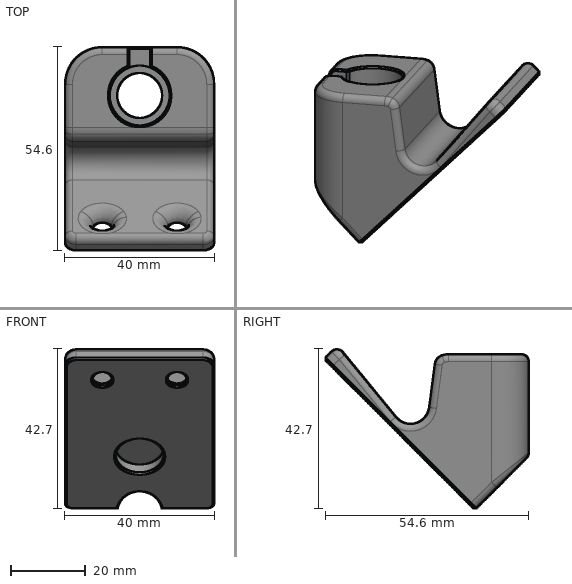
import cadquery as cq
import math

WIDTH = 40.0
BLOCK_HEIGHT = 41.35
TOTAL_DEPTH = 54.55
TIP_DEPTH = 14.45
CHAMFER = 0.5
EDGE_FILLET = 2.0
BACK_CORNER_RADIUS = 10.0
PLATE_CORNER_RADIUS = 3.0

GROOVE_RADIUS = 5.0
GROOVE = (-31.75, 27.7)
WALL_LEAN = math.radians(7.4)
PLATE_SLOPE = math.radians(50.6)
BROW_RADIUS = 5.1
BROW_ANGLE = math.radians(20)
NOSE_RADIUS = 3.0

SOCKET_Y = -13.0
SOCKET_DIAMETER = 16.05
SOCKET_FLOOR = 16.0
THROUGH_DIAMETER = 12.0
SLOT_WIDTH = 5.5
SLOT_FLOOR = 18.0

SCREW_SPACING = 20.0
SCREW_TO_END = 8.0
SCREW_DIAMETER = 5.0
SCREW_FLARE_RADIUS = 4.0
POCKET_DIAMETER = 12.75
POCKET_DEPTH = 3.45
POCKET_FROM_TIP = 20.05

SQRT2 = math.sqrt(2)
HALF_WIDTH = WIDTH / 2
TOLERANCE = 0.005
REACH = 2 * TOTAL_DEPTH
INTO_PART = cq.Vector(0, 1, 1)
PLATE_TAPER = PLATE_SLOPE - math.pi / 4
GROOVE_END = -math.pi / 2 - PLATE_SLOPE

TIP_Y = -TIP_DEPTH
TIP_Z = -CHAMFER / SQRT2
FACE_LENGTH = (TOTAL_DEPTH - TIP_DEPTH) * SQRT2 + CHAMFER


def mounting_point(along, inward=0.0):
    """Y, Z of a point 'along' the mounting face from its tip and 'inward' from it."""
    return (TIP_Y + (inward - along) / SQRT2, TIP_Z + (inward + along) / SQRT2)


def polar(center, radius, angle):
    return (center[0] + radius * math.cos(angle), center[1] + radius * math.sin(angle))


def add_arc(outline, center, radius, start, end):
    return outline.threePointArc(polar(center, radius, (start + end) / 2), polar(center, radius, end))


def face_distances(y, z):
    """Distance along the mounting face from its tip, and inward from that face."""
    rise = z - TIP_Z
    run = y - TIP_Y
    return ((rise - run) / SQRT2, (rise + run) / SQRT2)


def plate_top_point(along):
    """Y, Z of the plate's upper face, a tangent of the groove, above a mounting-face position."""
    start_along, start_inward = face_distances(*polar(GROOVE, GROOVE_RADIUS, GROOVE_END))
    return mounting_point(along, start_inward + (along - start_along) * math.tan(PLATE_TAPER))


def side_profile():
    """Closed Y-Z outline: block top, front wall, groove, plate and the two 45 degree faces."""
    top_angle = math.pi / 2
    nose_start = top_angle + BROW_ANGLE
    nose_end = math.pi - WALL_LEAN
    groove_start = -WALL_LEAN

    radius_step = BROW_RADIUS - NOSE_RADIUS
    brow_z = BLOCK_HEIGHT - BROW_RADIUS
    nose_z = brow_z + radius_step * math.cos(BROW_ANGLE)
    wall_run = (nose_z - GROOVE[1]) * math.sin(WALL_LEAN)
    nose_y = GROOVE[0] + (GROOVE_RADIUS + NOSE_RADIUS + wall_run) / math.cos(WALL_LEAN)
    nose = (nose_y, nose_z)
    brow = (nose_y + radius_step * math.sin(BROW_ANGLE), brow_z)

    plate_end = mounting_point(FACE_LENGTH)
    outline = cq.Workplane("YZ").moveTo(0, BLOCK_HEIGHT).lineTo(brow[0], BLOCK_HEIGHT)
    outline = add_arc(outline, brow, BROW_RADIUS, top_angle, nose_start)
    outline = add_arc(outline, nose, NOSE_RADIUS, nose_start, nose_end)
    outline = outline.lineTo(*polar(GROOVE, GROOVE_RADIUS, groove_start))
    outline = add_arc(outline, GROOVE, GROOVE_RADIUS, groove_start, GROOVE_END)
    outline = outline.lineTo(*plate_top_point(FACE_LENGTH))
    outline = outline.lineTo(*plate_end).lineTo(TIP_Y, TIP_Z)
    return outline.lineTo(0, TIP_Z + TIP_DEPTH).close()


def is_rim_edge(edge):
    """True for the edges bounding the top, front and rear slope, except on the mounting face."""
    middle = edge.positionAt(0.5)
    direction = edge.tangentAt(0.5)
    along, inward = face_distances(middle.y, middle.z)
    at_plate_end = along > FACE_LENGTH - PLATE_CORNER_RADIUS - TOLERANCE
    if inward < TOLERANCE:
        return False
    if abs(direction.x) > 0.55 - TOLERANCE:
        return at_plate_end or middle.y > -TOLERANCE
    is_block_seam = abs(direction.z) > 0.55 - TOLERANCE
    is_plate_seam = at_plate_end and edge.geomType() == "LINE"
    return not (is_block_seam or is_plate_seam)


def is_socket_edge(edge):
    """True for the socket rim, the slot's side edges and the rear edge of the slot floor."""
    middle = edge.positionAt(0.5)
    radius = math.hypot(middle.x, middle.y - SOCKET_Y)
    on_slot_wall = abs(abs(middle.x) - SLOT_WIDTH / 2) < TOLERANCE
    if on_slot_wall:
        return middle.z > SLOT_FLOOR + TOLERANCE
    if abs(radius - SOCKET_DIAMETER / 2) < TOLERANCE:
        return middle.z > BLOCK_HEIGHT - TOLERANCE
    return abs(middle.z - SLOT_FLOOR) < TOLERANCE and middle.y > -TOLERANCE


def pick_edges(solid, test):
    return solid.newObject([edge for edge in solid.edges().vals() if test(edge)])


def mounting_plane(x, along):
    """Plane on the mounting face with its normal pointing into the part."""
    return cq.Plane((x, *mounting_point(along)), (1, 0, 0), INTO_PART)


def chamfered_mouth(plane, diameter):
    """Cone that breaks the edge of a hole starting on the plane."""
    radius = diameter / 2
    mouth = cq.Workplane(plane).circle(radius + CHAMFER)
    return mouth.workplane(offset=CHAMFER).circle(radius).loft()


def vertical_bore(diameter, floor):
    return cq.Workplane(origin=(0, SOCKET_Y, floor)).circle(diameter / 2).extrude(REACH)


def flared_screw_hole(x, along):
    """Drilled hole square to the mounting face, flaring out tangent to the plate's upper face."""
    upper_normal = cq.Vector(0, math.sin(PLATE_SLOPE), math.cos(PLATE_SLOPE))
    upper_plane = cq.Plane((x, *plate_top_point(along)), (1, 0, 0), upper_normal)
    side = 2 * (SCREW_DIAMETER + 2 * SCREW_FLARE_RADIUS)
    blank = cq.Workplane(upper_plane).rect(side, side).extrude(-side)
    drill = cq.Workplane(mounting_plane(x, along)).circle(SCREW_DIAMETER / 2).extrude(REACH, both=True)
    collar = blank.cut(drill)
    upper_face = cq.selectors.DirectionMinMaxSelector(upper_normal)
    collar = collar.faces(upper_face).edges("not %LINE").fillet(SCREW_FLARE_RADIUS)
    return blank.cut(collar)


body = side_profile().extrude(HALF_WIDTH, both=True)
body = body.edges("|Z and >Y").fillet(BACK_CORNER_RADIUS)
plate_end_corners = body.edges(cq.selectors.ParallelDirSelector(INTO_PART)).edges("<Y")
body = plate_end_corners.fillet(PLATE_CORNER_RADIUS)
body = pick_edges(body, is_rim_edge).fillet(EDGE_FILLET)

body = body.cut(vertical_bore(THROUGH_DIAMETER, -BLOCK_HEIGHT))
mounting_face = body.faces(cq.selectors.DirectionMinMaxSelector(INTO_PART, False)).val()
body = body.newObject(mounting_face.outerWire().Edges()).chamfer(CHAMFER)

slot_center = (0, SOCKET_Y / 2, SLOT_FLOOR)
slot = cq.Workplane(origin=slot_center).rect(SLOT_WIDTH, -SOCKET_Y).extrude(REACH)
body = body.cut(vertical_bore(SOCKET_DIAMETER, SOCKET_FLOOR)).cut(slot)
body = pick_edges(body, is_socket_edge).chamfer(CHAMFER)

pocket_plane = mounting_plane(0, POCKET_FROM_TIP)
body = body.cut(cq.Workplane(pocket_plane).circle(POCKET_DIAMETER / 2).extrude(POCKET_DEPTH))
body = body.cut(chamfered_mouth(pocket_plane, POCKET_DIAMETER))

screw_along = FACE_LENGTH - SCREW_TO_END
for screw_x in (-SCREW_SPACING / 2, SCREW_SPACING / 2):
    body = body.cut(flared_screw_hole(screw_x, screw_along))
    body = body.cut(chamfered_mouth(mounting_plane(screw_x, screw_along), SCREW_DIAMETER))

result = body